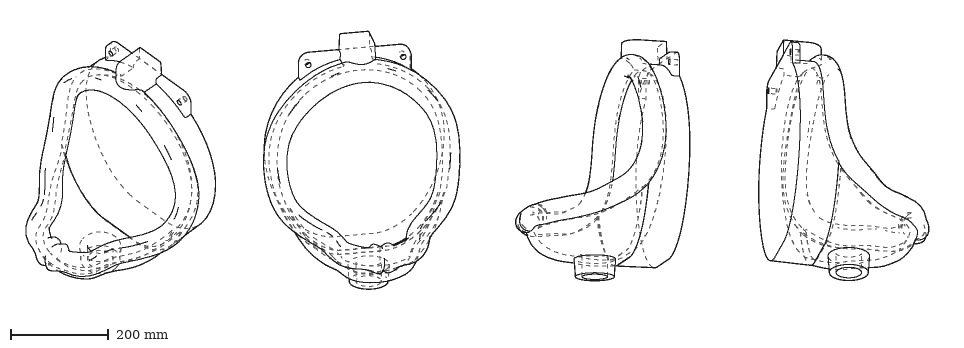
import cadquery as cq
import math


TOTAL_HEIGHT = 495.0
FLOOR_Z = 37.5
WALL = 13.0
JOINT_Y = -84.0
BOWL_BACK_Y = JOINT_Y + 4
SKIN_STEP = 1.0
DRAFT = 1.5

BODY_HALF_WIDTH = 188.0
BODY_MID_Z = 250.0
BODY_TOP_Z = 446.5
LOWER_OUTLINE = [
    (BODY_HALF_WIDTH, BODY_MID_Z),
    (159.5, 130.0),
    (107.0, 63.0),
    (40.0, FLOOR_Z),
]

RIM_RADIUS = 24.0
RIM_TOP = (0.0, -75.5, 441.5)
RIM_NOSE = (0.0, -281.0, 113.0)
RIM_SECTIONS = 24
RIM_SEAM = cq.Vector(0, -1, 1)
RIM_BOWL_START_Y = -100.0
RIM_PATH = [
    RIM_TOP,
    (79.0, -75.3, 419.5),
    (131.5, -75.0, 377.0),
    (166.5, -73.5, 323.5),
    (180.5, -75.0, 256.0),
    (177.0, -89.0, 203.0),
    (165.0, -114.0, 167.0),
    (143.0, -145.0, 147.0),
    (112.5, -176.0, 132.0),
    (89.5, -213.0, 124.5),
    (78.0, -247.0, 118.0),
    (53.0, -269.0, 114.5),
    (26.0, -279.0, 113.3),
    RIM_NOSE,
]

BOWL_PLAN = [(180.5, BOWL_BACK_Y)] + [(x, y) for x, y, z in RIM_PATH if y < RIM_BOWL_START_Y]
BOWL_NECK_INDEX = 3
BOWL_SECTIONS = [
    (0.0, -287.5, 1.0),
    (0.25, -287.5, 1.0),
    (0.48, -287.5, 1.0),
    (0.66, -282.0, 0.92),
    (0.84, -256.0, 0.72),
    (1.0, -205.0, 0.5),
]

BASIN_BACK = [(-33.0, 440.0), (-35.0, 355.0), (-41.0, 242.0), (-47.5, 154.0), (-61.0, 71.0), (-68.0, 45.0)]
BASIN_FILLET = 28.0
RECESS_FRONT_Y = JOINT_Y - 8

DRAIN_Y = -145.5
DRAIN_TOP_RADIUS = 43.0
DRAIN_BOTTOM_RADIUS = 40.0
DRAIN_BORE_RADIUS = 26.0
DRAIN_LIP_FILLET = 9.5

INLET_RADIUS = 33.0
INLET_CENTRE_Y = -56.0
INLET_BASE_Z = 438.0
INLET_TAPER = 2.0
INLET_TOP_FILLET = 4.0

EAR_HALF_SPAN = 116.5
EAR_BOTTOM_Z = 401.5
EAR_TOP_Z = 458.5
EAR_THICKNESS = 17.0
EAR_CORNER_RADIUS = 22.0
EAR_EDGE_FILLET = 3.0
EAR_HOLE_X = 99.0
EAR_HOLE_Z = 437.0
EAR_HOLE_RADIUS = 5.5


def shifted(points, distance):
    """Move an open run of 2D points sideways, to its right-hand side."""
    moved = []
    for i, (a, b) in enumerate(points):
        before = points[max(i - 1, 0)]
        after = points[min(i + 1, len(points) - 1)]
        da, db = after[0] - before[0], after[1] - before[1]
        length = math.hypot(da, db)
        moved.append((a + distance * db / length, b - distance * da / length))
    return moved


def lower_outline(growth):
    """Lower body outline moved outwards by growth, keeping its ends level and upright."""
    points = shifted(LOWER_OUTLINE, -growth)
    points[0] = (BODY_HALF_WIDTH + growth, BODY_MID_Z)
    points[-1] = (LOWER_OUTLINE[-1][0], FLOOR_Z - growth)
    return points


def smooth_edge(points, directions, reference=None):
    """Spline through points with given end directions, spaced along it like the reference points."""
    spacing = [0.0]
    reference = reference or points
    for before, after in zip(reference, reference[1:]):
        spacing.append(spacing[-1] + (after - before).Length)
    parameters = [s / spacing[-1] for s in spacing]
    length = sum((after - before).Length for before, after in zip(points, points[1:]))
    tangents = [d.normalized() * length for d in directions]
    return cq.Edge.makeSpline(points, tangents=tangents, parameters=parameters, scale=False)


def lower_edge(y, growth):
    """Lower edge of the body outline, from its widest level to the flat bottom."""
    points = [cq.Vector(x, y, z) for x, z in lower_outline(growth)]
    reference = [cq.Vector(x, y, z) for x, z in LOWER_OUTLINE]
    return smooth_edge(points, [cq.Vector(0, 0, -1), cq.Vector(-1, 0, 0)], reference)


def outline_wire(y, growth):
    """Half of the body outline in the plane at the given y, closed along x = 0."""
    side = lower_edge(y, growth)
    top = cq.Edge.makeEllipse(
        BODY_TOP_Z + growth - BODY_MID_Z, BODY_HALF_WIDTH + growth,
        cq.Vector(0, y, BODY_MID_Z), cq.Vector(0, 1, 0), cq.Vector(0, 0, 1), 0, 90,
    )
    bottom_centre = cq.Vector(0, y, side.endPoint().z)
    return cq.Wire.assembleEdges([
        side,
        cq.Edge.makeLine(side.endPoint(), bottom_centre),
        cq.Edge.makeLine(bottom_centre, top.startPoint()),
        top,
    ])


def body_block(back_growth, depth_factor=1):
    """Drafted half body from y = 0 forward to a multiple of the joint depth."""
    back = outline_wire(0, back_growth)
    front = outline_wire(JOINT_Y * depth_factor, back_growth + DRAFT * depth_factor)
    return cq.Workplane(cq.Solid.makeLoft([back, front], True))


def bowl_section(z, half_width, nose_y, nose_scale, plan):
    """Half of a horizontal bowl section; the scale blends from the back to the neck."""
    joint_scale = half_width / plan[0][0]
    stretch = (nose_y - BOWL_BACK_Y) / (plan[-1][1] - BOWL_BACK_Y)
    points = []
    for i, (x, y) in enumerate(plan):
        blend = min(i / BOWL_NECK_INDEX, 1)
        scale = joint_scale + (nose_scale - joint_scale) * blend
        points.append(cq.Vector(x * scale, BOWL_BACK_Y + (y - BOWL_BACK_Y) * stretch, z))
    points[0] = cq.Vector(half_width, BOWL_BACK_Y, z)
    nose = cq.Vector(0, nose_y, z)
    points[-1] = nose
    corner = cq.Vector(0, BOWL_BACK_Y, z)
    directions = [points[1] - points[0], cq.Vector(-1, 0, 0)]
    reference = [cq.Vector(x, y) for x, y in plan]
    return cq.Wire.assembleEdges([
        smooth_edge(points, directions, reference),
        cq.Edge.makeLine(nose, corner),
        cq.Edge.makeLine(corner, points[0]),
    ])


def y_slab(back_y, front_y):
    """Slab larger than the part in X and Z, between two values of y."""
    slab = cq.Workplane("XZ", origin=(0, back_y, 0)).rect(4 * BODY_HALF_WIDTH, 4 * TOTAL_HEIGHT)
    return slab.extrude(back_y - front_y)


def bowl_block(growth, start_y):
    """Half bowl forward of start_y; growth moves its skin outwards."""
    plan = shifted(BOWL_PLAN, -WALL / 2 - growth)
    sections = []
    side = lower_edge(JOINT_Y, growth + DRAFT - SKIN_STEP)
    for fraction, nose_y, nose_scale in BOWL_SECTIONS:
        place = side.positionAt(fraction)
        sections.append(bowl_section(place.z, place.x, nose_y - growth, nose_scale, plan))
    bowl = cq.Workplane(cq.Solid.makeLoft(sections[::-1], False))
    return bowl.intersect(y_slab(start_y, 2 * BOWL_PLAN[-1][1]))


def side_profile(points, closing):
    """Solid across the full width whose side outline is a spline closed by straight lines."""
    width = 4 * BODY_HALF_WIDTH
    return (
        cq.Workplane("YZ", origin=(-width / 2, 0, 0)).moveTo(*points[0])
        .spline(points[1:], includeCurrent=True)
        .polyline(closing, includeCurrent=True).close().extrude(width)
    )


def outer_body():
    """Half of the solid body and bowl, trimmed along the rim line."""
    block = body_block(0).union(bowl_block(0, JOINT_Y))
    edge = [(y, z) for _, y, z in RIM_PATH]
    below = FLOOR_Z - WALL
    closing = [(2 * RIM_NOSE[1], RIM_NOSE[2]), (2 * RIM_NOSE[1], below), (WALL, below), (WALL, TOTAL_HEIGHT)]
    keep = side_profile([(edge[0][0], TOTAL_HEIGHT)] + edge, closing)
    return block.intersect(keep)


def basin():
    """Half of the hollow inside the wall, with a rounded edge around its leaning back."""
    over_depth = 2
    front = over_depth * JOINT_Y
    keep = side_profile(
        [(BASIN_BACK[0][0], TOTAL_HEIGHT)] + BASIN_BACK + [(BASIN_BACK[-1][0], 0)],
        [(front, 0), (front, TOTAL_HEIGHT)],
    )
    recess = body_block(-WALL, over_depth).intersect(keep)
    back_y, back_z = BASIN_BACK[2]
    near_back = cq.selectors.NearestToPointSelector((BODY_HALF_WIDTH / 2, back_y, back_z))
    recess = recess.faces(near_back).edges("not <X").fillet(BASIN_FILLET)
    recess = recess.intersect(y_slab(0, RECESS_FRONT_Y))
    return recess.union(bowl_block(-WALL, RECESS_FRONT_Y))


def rim():
    """Half of the round bead along the edge of the wall."""
    points = [cq.Vector(*p) for p in RIM_PATH]
    path = smooth_edge(points, [cq.Vector(1, 0, 0), cq.Vector(-1, 0, 0)])
    circles = []
    for i in range(RIM_SECTIONS + 1):
        centre = path.positionAt(i / RIM_SECTIONS)
        along = path.tangentAt(i / RIM_SECTIONS)
        seam = RIM_SEAM - along * RIM_SEAM.dot(along)
        plane = cq.Plane(centre, seam, along)
        circles.append(cq.Workplane(plane).circle(RIM_RADIUS).wires().val())
    return cq.Workplane(cq.Solid.makeLoft(circles, False))


def inlet_block():
    """Tapered block with a half-round front and a rounded top edge."""
    width = 2 * INLET_RADIUS
    half_round = cq.Sketch().push([(0, INLET_CENTRE_Y / 2)]).rect(width, -INLET_CENTRE_Y).reset()
    half_round = half_round.push([(0, INLET_CENTRE_Y)]).circle(INLET_RADIUS).reset().clean()
    block = (
        cq.Workplane("XY", origin=(0, 0, INLET_BASE_Z)).placeSketch(half_round)
        .extrude(TOTAL_HEIGHT - INLET_BASE_Z, taper=INLET_TAPER)
    )
    return block.faces(">Z").edges("not >Y").fillet(INLET_TOP_FILLET)


def ears():
    """Plate across the back whose ends form the two mounting ears."""
    height = EAR_TOP_Z - EAR_BOTTOM_Z
    return (
        cq.Workplane("XY").box(2 * EAR_HALF_SPAN, EAR_THICKNESS, height)
        .translate((0, -EAR_THICKNESS / 2, (EAR_TOP_Z + EAR_BOTTOM_Z) / 2))
        .edges("|Y and >Z").fillet(EAR_CORNER_RADIUS)
        .faces("<Y").edges().fillet(EAR_EDGE_FILLET)
    )


def ear_holes():
    return (
        cq.Workplane("XZ").pushPoints([(side * EAR_HOLE_X, EAR_HOLE_Z) for side in (-1, 1)])
        .circle(EAR_HOLE_RADIUS).extrude(EAR_THICKNESS)
    )


def drain_outlet():
    height = FLOOR_Z + WALL / 2
    return (
        cq.Workplane("XY", origin=(0, DRAIN_Y, 0)).circle(DRAIN_BOTTOM_RADIUS)
        .workplane(offset=height).circle(DRAIN_TOP_RADIUS).loft()
    )


def drain_bore():
    """Through bore with a rounded lip where it leaves the basin floor."""
    floor = FLOOR_Z + WALL + SKIN_STEP - DRAFT
    lip_radius = DRAIN_BORE_RADIUS + DRAIN_LIP_FILLET
    return (
        cq.Workplane("XZ").moveTo(0, 0).lineTo(DRAIN_BORE_RADIUS, 0)
        .lineTo(DRAIN_BORE_RADIUS, floor - DRAIN_LIP_FILLET)
        .radiusArc((lip_radius, floor), DRAIN_LIP_FILLET)
        .lineTo(0, floor).close()
        .revolve(360, (0, 0, 0), (0, 1, 0)).translate((0, DRAIN_Y, 0))
    )


half_shell = outer_body().cut(basin()).union(rim(), clean=False)
shell = half_shell.union(half_shell.mirror("YZ"), clean=False)
shell = shell.union(ears()).union(drain_outlet()).union(inlet_block())
result = shell.cut(ear_holes()).cut(drain_bore())